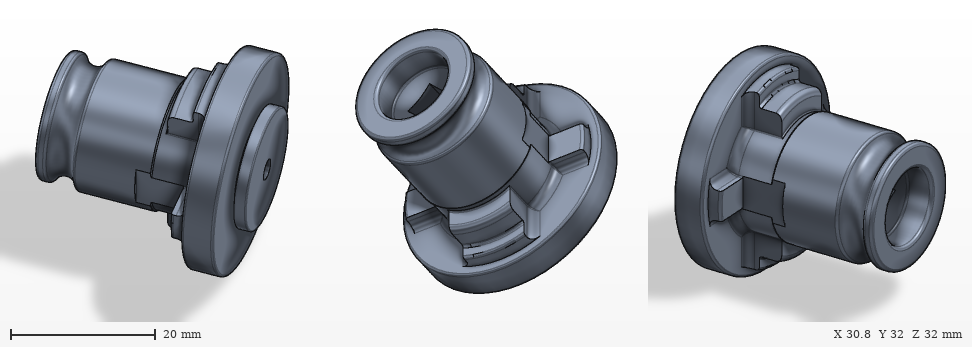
import cadquery as cq
import math

GROOVE_CENTRE = 3.55
FLAT_START = 14.72
BODY_END = 16.83
TALL_LUG_START = 17.95
LUG_START = 21.7
FLANGE_START = 23.78
FLANGE_END = 28.48
DISK_START = 29.02
TOTAL_LENGTH = 30.8

RIM_RADIUS = 9.3
GROOVE_FLOOR_RADIUS = 7.87
GROOVE_ARC_RADIUS = 2.18
BODY_RADIUS = 9.5
SHAFT_RADIUS = 9.25
ROOT_RADIUS = 1.3
FLANGE_RADIUS = 16.0
NECK_RADIUS = 7.15
DISK_RADIUS = 8.93
RIM_FILLET = 0.48
STEP_FILLET = 0.2
FLANGE_FILLET = 0.35
DISK_FILLET = 0.2

ROOT_START = FLANGE_START - ROOT_RADIUS

LUG_RADIUS = 14.5
TALL_LUG_RADIUS = 12.4
SIDE_LUG_HALF_WIDTH = 2.35
TALL_LUG_HALF_WIDTH = 4.93
LUG_FILLET = 0.4
TALL_LUG_FILLET = 1.0
LUG_BASE_FILLET = 0.22
FLAT_OFFSET = 8.9

BORE_RADIUS = 5.65
BORE_DEPTH = 4.1
BORE_FILLET = 0.5
CONE_FILLET = 0.35
CONE_HALF_ANGLE = 75.0
SOCKET_DIAGONAL = 6.9
SOCKET_FLOOR = 9.6
HOLE_DIAMETER = 3.0

TOLERANCE = 0.003


def on_circle(centre, radius, degrees):
    """Point at an angle on a circle."""
    angle = math.radians(degrees)
    return (centre[0] + radius * math.cos(angle), centre[1] + radius * math.sin(angle))


def revolve_about_x(profile):
    """Close an (x, radius) profile and turn it around the X axis."""
    return profile.close().revolve(360, (0, 0, 0), (1, 0, 0))


def fillet_rings(body, fillet, rings):
    """Round the circular edges around the X axis given as (x, radius) pairs."""
    def is_chosen(edge):
        if edge.geomType() != "CIRCLE":
            return False
        start = edge.startPoint()
        radius = math.hypot(start.y, start.z)
        return any(math.hypot(start.x - x, radius - r) < TOLERANCE for x, r in rings)

    return body.newObject([e for e in body.edges().vals() if is_chosen(e)]).fillet(fillet)


def groove_edge(radius, side):
    """Point where the groove arc reaches a given radius, before (-1) or after (1) its centre."""
    drop = GROOVE_FLOOR_RADIUS + GROOVE_ARC_RADIUS - radius
    return (GROOVE_CENTRE + side * math.sqrt(GROOVE_ARC_RADIUS**2 - drop**2), radius)


def turned_body():
    """Rim, rounded groove, body, shaft, flange, neck and end disk."""
    groove_start = groove_edge(RIM_RADIUS, -1)
    groove_end = groove_edge(BODY_RADIUS, 1)
    root_centre = (ROOT_START, SHAFT_RADIUS + ROOT_RADIUS)
    body = revolve_about_x(
        cq.Workplane("XY")
        .lineTo(0, RIM_RADIUS)
        .lineTo(*groove_start)
        .threePointArc((GROOVE_CENTRE, GROOVE_FLOOR_RADIUS), groove_end)
        .lineTo(BODY_END, BODY_RADIUS)
        .lineTo(BODY_END, SHAFT_RADIUS)
        .lineTo(ROOT_START, SHAFT_RADIUS)
        .threePointArc(on_circle(root_centre, ROOT_RADIUS, -45), (FLANGE_START, root_centre[1]))
        .lineTo(FLANGE_START, FLANGE_RADIUS)
        .lineTo(FLANGE_END, FLANGE_RADIUS)
        .lineTo(FLANGE_END, NECK_RADIUS)
        .lineTo(DISK_START, NECK_RADIUS)
        .lineTo(DISK_START, DISK_RADIUS)
        .lineTo(TOTAL_LENGTH, DISK_RADIUS)
        .lineTo(TOTAL_LENGTH, 0)
    )
    body = fillet_rings(body, RIM_FILLET, [(0, RIM_RADIUS), groove_start, groove_end])
    body = fillet_rings(body, STEP_FILLET, [(BODY_END, SHAFT_RADIUS)])
    body = fillet_rings(body, FLANGE_FILLET, [(FLANGE_START, FLANGE_RADIUS), (FLANGE_END, FLANGE_RADIUS)])
    return fillet_rings(body, DISK_FILLET, [(TOTAL_LENGTH, DISK_RADIUS)])


def flared_bar(plane, start, half_width):
    """Bar across the axis whose sides flare out where they meet the flange."""
    flare = half_width + ROOT_RADIUS
    return (
        cq.Workplane(plane)
        .moveTo(start, -half_width)
        .lineTo(start, half_width)
        .lineTo(ROOT_START, half_width)
        .threePointArc(on_circle((ROOT_START, flare), ROOT_RADIUS, -45), (FLANGE_START, flare))
        .lineTo(FLANGE_START, -flare)
        .threePointArc(on_circle((ROOT_START, -flare), ROOT_RADIUS, 45), (ROOT_START, -half_width))
        .close()
        .extrude(FLANGE_RADIUS, both=True)
    )


def side_lugs():
    """Low lugs on the +Y and -Y sides."""
    disk = revolve_about_x(
        cq.Workplane("XY")
        .moveTo(LUG_START, 0)
        .lineTo(LUG_START, LUG_RADIUS)
        .lineTo(FLANGE_START, LUG_RADIUS)
        .lineTo(FLANGE_START, 0)
    )
    disk = fillet_rings(disk, LUG_FILLET, [(LUG_START, LUG_RADIUS)])
    return disk.intersect(flared_bar("XZ", LUG_START, SIDE_LUG_HALF_WIDTH))


def tall_lugs():
    """Stepped lugs on the +Z and -Z sides."""
    steps = revolve_about_x(
        cq.Workplane("XY")
        .moveTo(TALL_LUG_START, 0)
        .lineTo(TALL_LUG_START, TALL_LUG_RADIUS)
        .lineTo(LUG_START, TALL_LUG_RADIUS)
        .lineTo(LUG_START, LUG_RADIUS)
        .lineTo(FLANGE_START, LUG_RADIUS)
        .lineTo(FLANGE_START, 0)
    )
    steps = fillet_rings(steps, TALL_LUG_FILLET, [(TALL_LUG_START, TALL_LUG_RADIUS)])
    steps = fillet_rings(steps, LUG_FILLET, [(LUG_START, TALL_LUG_RADIUS), (LUG_START, LUG_RADIUS)])
    return steps.intersect(flared_bar("XY", TALL_LUG_START, TALL_LUG_HALF_WIDTH))


def shaft_radius_at(x):
    """Radius of the shaft at a station, including its flare into the flange."""
    into_root = max(0, x - ROOT_START)
    return SHAFT_RADIUS + ROOT_RADIUS - math.sqrt(max(0, ROOT_RADIUS**2 - into_root**2))


def fillet_lug_bases(body):
    """Round the inside corners where the lugs rise from the shaft."""
    def is_base(edge):
        points = [edge.positionAt(t) for t in (0, 0.5, 1)]
        stations = [p.x for p in points]
        is_ring = max(stations) - min(stations) < TOLERANCE
        if min(stations) < TALL_LUG_START - TOLERANCE:
            return False
        if is_ring and stations[0] > TALL_LUG_START + TOLERANCE:
            return False
        return all(abs(math.hypot(p.y, p.z) - shaft_radius_at(p.x)) < TOLERANCE for p in points)

    return body.newObject([e for e in body.edges().vals() if is_base(e)]).fillet(LUG_BASE_FILLET)


def side_flats():
    """Flat cuts on the +Y and -Y sides, running from the body up to the low lugs."""
    length = LUG_START - FLAT_START
    depth = BODY_RADIUS - FLAT_OFFSET
    centre_y = FLAT_OFFSET + depth / 2
    cut = cq.Workplane("XY").box(length, depth, 2 * BODY_RADIUS, centered=(False, True, True))
    cut = cut.translate((FLAT_START, centre_y, 0))
    return cut.union(cut.mirror("XZ"))


def bore():
    """Round pocket with a shallow conical floor."""
    cone_height = BORE_RADIUS / math.tan(math.radians(CONE_HALF_ANGLE))
    pocket = revolve_about_x(
        cq.Workplane("XY")
        .lineTo(0, BORE_RADIUS)
        .lineTo(BORE_DEPTH, BORE_RADIUS)
        .lineTo(BORE_DEPTH + cone_height, 0)
    )
    return fillet_rings(pocket, CONE_FILLET, [(BORE_DEPTH, BORE_RADIUS)])


def socket():
    """Square drive socket, standing on its corner."""
    return cq.Workplane("YZ").polygon(4, SOCKET_DIAGONAL).extrude(SOCKET_FLOOR)


def through_hole():
    return cq.Workplane("YZ").circle(HOLE_DIAMETER / 2).extrude(TOTAL_LENGTH)


part = turned_body().union(side_lugs()).union(tall_lugs())
part = fillet_lug_bases(part)
part = part.cut(side_flats()).cut(bore()).cut(socket()).cut(through_hole())
result = fillet_rings(part, BORE_FILLET, [(0, BORE_RADIUS)])